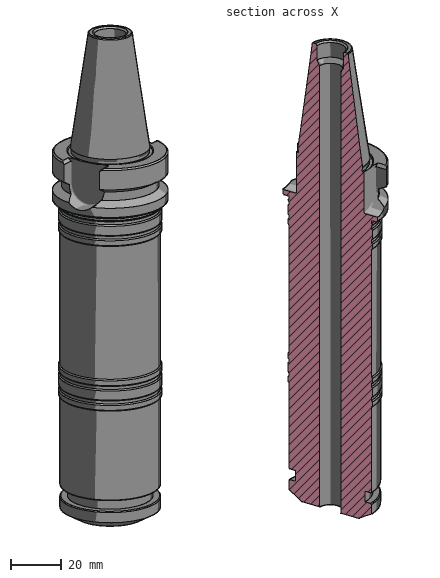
import cadquery as cq
import math

length = 202.5
gauge_z = 154.5
flange_top_z = 152.8
flange_bottom_z = 132.0

gauge_radius = 15.8
taper_ratio = 7 / 24
taper_tip_radius = gauge_radius - (length - gauge_z) * taper_ratio / 2
taper_tip_chamfer = 0.5
neck_radius = 31.2 / 2
neck_top_z = 153.2

face_groove_radius = 34.5 / 2
face_groove_depth = 0.5

flange_radius = 46.0 / 2
flange_top_chamfer = 0.6
flange_bottom_chamfer = 0.6
groove_root_radius = 19.5
groove_root_top_z = 142.0
groove_root_bottom_z = 138.5
groove_angle = 60
groove_flank_height = (flange_radius - groove_root_radius) * math.tan(math.radians(groove_angle / 2))

slot_width = 16.4
slot_floor_y = 16.4
slot_end_z = 134.4
slot_floor_fillet = 0.6
slot_mouth_chamfer = 1.2

body_radius = 40.0 / 2
body_edge_chamfer = 0.5
band_radius = 41.0 / 2
band_chamfer = band_radius - body_radius
lower_stack_z = 50.4
upper_stack_z = 119.5
band_offsets = (0, 4.3, 10.3)
lower_band_heights = (3.0, 4.9, 3.0)
upper_band_heights = (3.0, 4.9, 1.2)
nose_groove_radius = 34.0 / 2
nose_groove_bottom_z = 8.3
nose_groove_top_z = 12.8
nose_cone_height = 3.6
nose_tip_radius = 13.8

through_radius = 10.1 / 2
bore_mouth_radius = 12.5 / 2
bore_rim_radius = 14.0 / 2
bore_mouth_depth = 7.0
seat_cone_angle = 60


def make_revolved_blank():
    """Solid of revolution: nose, body, flange and taper, without the bands."""
    profile = (
        cq.Workplane("XZ")
        .moveTo(0, 0)
        .lineTo(nose_tip_radius, 0)
        .lineTo(body_radius, nose_cone_height)
        .lineTo(body_radius, nose_groove_bottom_z - body_edge_chamfer)
        .lineTo(body_radius - body_edge_chamfer, nose_groove_bottom_z)
        .lineTo(nose_groove_radius, nose_groove_bottom_z)
        .lineTo(nose_groove_radius, nose_groove_top_z)
        .lineTo(body_radius - body_edge_chamfer, nose_groove_top_z)
        .lineTo(body_radius, nose_groove_top_z + body_edge_chamfer)
        .lineTo(body_radius, flange_bottom_z)
        .lineTo(flange_radius - flange_bottom_chamfer, flange_bottom_z)
        .lineTo(flange_radius, flange_bottom_z + flange_bottom_chamfer)
        .lineTo(flange_radius, groove_root_bottom_z - groove_flank_height)
        .lineTo(groove_root_radius, groove_root_bottom_z)
        .lineTo(groove_root_radius, groove_root_top_z)
        .lineTo(flange_radius, groove_root_top_z + groove_flank_height)
        .lineTo(flange_radius, flange_top_z - flange_top_chamfer)
        .lineTo(flange_radius - flange_top_chamfer, flange_top_z)
        .lineTo(face_groove_radius, flange_top_z)
        .lineTo(face_groove_radius - face_groove_depth, flange_top_z - face_groove_depth)
        .lineTo(neck_radius, flange_top_z - face_groove_depth)
        .lineTo(neck_radius, neck_top_z)
        .lineTo(gauge_radius, gauge_z)
        .lineTo(taper_tip_radius, length - taper_tip_chamfer)
        .lineTo(taper_tip_radius - taper_tip_chamfer, length)
        .lineTo(0, length)
        .close()
    )
    return profile.revolve(360, (0, 0, 0), (0, 1, 0))


def make_band(bottom_z, height):
    """Raised band around the body with both edges chamfered."""
    return (
        cq.Workplane("XY")
        .workplane(offset=bottom_z)
        .circle(band_radius)
        .extrude(height)
        .edges()
        .chamfer(band_chamfer)
    )


def make_slot_cutter():
    """Cutter for the slot on the -Y side: round lower end, filleted floor, chamfered mouth."""
    half_width = slot_width / 2
    round_center_z = slot_end_z + half_width
    slot_depth = flange_radius - slot_floor_y
    slot = (
        cq.Workplane("XZ", origin=(0, -slot_floor_y, 0))
        .moveTo(-half_width, gauge_z)
        .lineTo(-half_width, round_center_z)
        .threePointArc((0, slot_end_z), (half_width, round_center_z))
        .lineTo(half_width, gauge_z)
        .close()
        .extrude(slot_depth)
    )
    slot = slot.faces(">Y").edges("not >Z").fillet(slot_floor_fillet)
    mouth_half_width = half_width + slot_mouth_chamfer
    mouth = (
        cq.Workplane("XZ", origin=(0, -slot_floor_y, 0))
        .moveTo(-half_width, flange_top_z - slot_mouth_chamfer)
        .lineTo(half_width, flange_top_z - slot_mouth_chamfer)
        .lineTo(mouth_half_width, flange_top_z)
        .lineTo(mouth_half_width, gauge_z)
        .lineTo(-mouth_half_width, gauge_z)
        .lineTo(-mouth_half_width, flange_top_z)
        .close()
        .extrude(slot_depth)
    )
    return slot.union(mouth)


def make_bore_cutter():
    """Through hole with a short, wider, chamfered mouth at the taper tip."""
    seat_cone_height = (bore_mouth_radius - through_radius) / math.tan(math.radians(seat_cone_angle / 2))
    rim_chamfer = bore_rim_radius - bore_mouth_radius
    profile = (
        cq.Workplane("XZ")
        .moveTo(0, 0)
        .lineTo(through_radius, 0)
        .lineTo(through_radius, length - bore_mouth_depth - seat_cone_height)
        .lineTo(bore_mouth_radius, length - bore_mouth_depth)
        .lineTo(bore_mouth_radius, length - rim_chamfer)
        .lineTo(bore_rim_radius, length)
        .lineTo(0, length)
        .close()
    )
    return profile.revolve(360, (0, 0, 0), (0, 1, 0))


result = make_revolved_blank()
for stack_z, heights in ((lower_stack_z, lower_band_heights), (upper_stack_z, upper_band_heights)):
    for offset, height in zip(band_offsets, heights):
        result = result.union(make_band(stack_z + offset, height))

front_slot = make_slot_cutter()
back_slot = front_slot.rotate((0, 0, 0), (0, 0, 1), 180)
result = result.cut(front_slot).cut(back_slot).cut(make_bore_cutter())